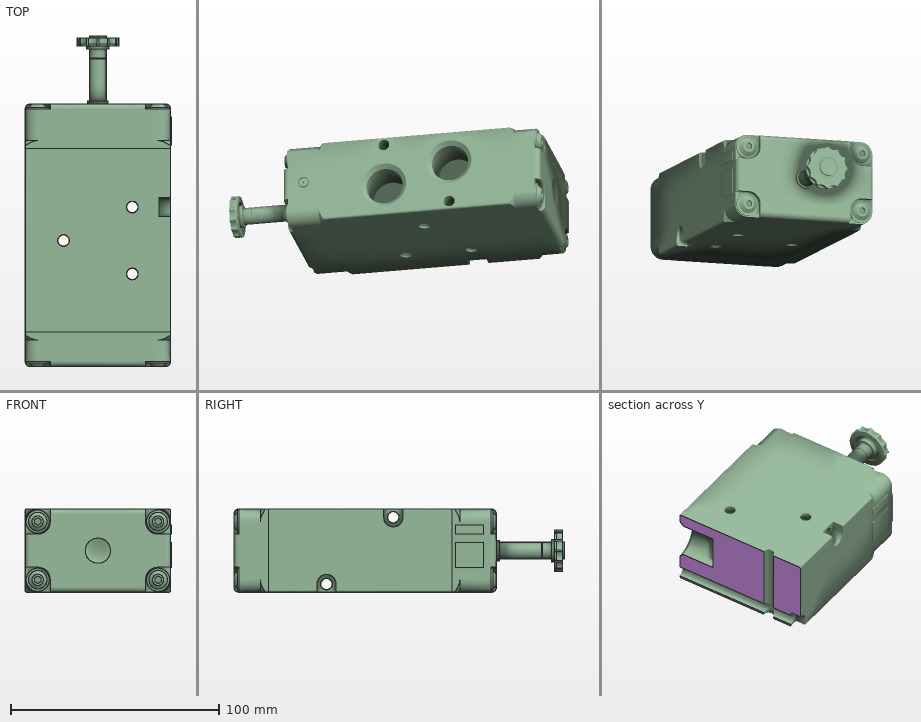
import cadquery as cq
import math

WIDTH = 70.0
HEIGHT = 40.0
FRONT_CAP_LENGTH = 16.5
BODY_LENGTH = 88.2
REAR_CAP_LENGTH = 21.5
TOTAL_LENGTH = 159.0
LONG_EDGE_RADIUS = 1.0
OVERSHOOT = 1.6

BODY_START = FRONT_CAP_LENGTH
BODY_END = BODY_START + BODY_LENGTH
REAR_FACE = BODY_END + REAR_CAP_LENGTH

STATION_PITCH = 32.1
FRONT_STATION = 44.5
REAR_STATION = FRONT_STATION + STATION_PITCH

PORT_RADIUS = 8.9
PORT_MOUTH_RADIUS = 11.0
PORT_MOUTH_DEPTH = PORT_MOUTH_RADIUS - PORT_RADIUS
PORT_DEPTH = 19.1
PORT_OFFSET_Z = 4.6

MOUNT_HOLE_RADIUS = 2.7
VERTICAL_HOLE_X = 16.5
CROSS_HOLE_Z = 16.0
NUT_SLOT_RADIUS = 4.6
NUT_SLOT_DEPTH = 5.5

CORNER_RADIUS = 6.0
SCREW_X = WIDTH / 2 - CORNER_RADIUS
SCREW_Z = HEIGHT / 2 - CORNER_RADIUS
FLANGE_LENGTH = 1.7
CORNER_TAPER = 2.0
END_FILLET = 2.5
POCKET_DEPTH = END_FILLET

SCREW_FLANGE_RADIUS = 5.5
SCREW_FLANGE_THICKNESS = 0.8
SCREW_CONE_RADIUS = 4.5
SCREW_TOP_RADIUS = 2.7
SOCKET_ACROSS_CORNERS = 3.7
SOCKET_DEPTH = 1.3

DIMPLE_RADIUS = 6.0
DIMPLE_DEPTH = 1.6

BUTTON_Y = 116.0
BUTTON_RADIUS = 2.2
BUTTON_GROOVE_WIDTH = 0.5
BUTTON_GROOVE_DEPTH = 0.8
BUTTON_DIMPLE_RADIUS = 0.5
MARK_HEIGHT = 0.3
MARK_START = 106.5
MARK_END = 119.9
MARK_SPANS_Z = [(-8.1, 3.8), (8.1, 12.4)]

STEM_DIAMETER = 8.1
STEM_RADIUS = STEM_DIAMETER / 2
COLLAR_RADIUS = 5.0
COLLAR_LENGTH = 1.5
GROOVE_Y = 148.2
GROOVE_WIDTH = 0.5
GROOVE_DEPTH = 0.3
HUB_RADIUS = 5.4
HUB_LENGTH = 1.5
KNOB_RADIUS = 10.0
KNOB_THICKNESS = 4.0
KNOB_DISC_RADIUS = 9.9
KNOB_DISC_THICKNESS = 1.0
KNOB_BOSS_LENGTH = 1.0
KNOB_BACK = TOTAL_LENGTH - KNOB_BOSS_LENGTH
KNOB_FRONT = KNOB_BACK - KNOB_THICKNESS
RECESS_RADIUS = 7.2
RECESS_DEPTH = 1.9
SCALLOP_COUNT = 12
SCALLOP_RADIUS = 3.7
SCALLOP_DEPTH = 1.0


def block(x_span, y_span, z_span):
    """Box between the given limits along each axis."""
    size = [end - start for start, end in (x_span, y_span, z_span)]
    return cq.Workplane("XY").box(*size, centered=False).translate((x_span[0], y_span[0], z_span[0]))


def rod_x(radius, x_start, x_end, y, z):
    """Cylinder along X."""
    return cq.Workplane("YZ", origin=(x_start, y, z)).circle(radius).extrude(x_end - x_start)


def rod_y(radius, y_start, y_end, x=0, z=0):
    """Cylinder along Y."""
    return cq.Workplane("XZ", origin=(x, y_start, z)).circle(radius).extrude(y_start - y_end)


def turned_y(points, x=0, z=0):
    """Solid of revolution about a line along Y, from (radius, y) points."""
    return cq.Workplane("XY").polyline(points).close().revolve(360, (0, 0), (0, 1)).translate((x, 0, z))


def rounded_bar(y_start, y_end):
    """Full-section bar along Y with its four long edges rounded."""
    bar = block((-WIDTH / 2, WIDTH / 2), (y_start, y_end), (-HEIGHT / 2, HEIGHT / 2))
    return bar.edges("|Y").fillet(LONG_EDGE_RADIUS)


def port(y, z):
    """Blind side port with a 45 degree mouth."""
    bore = rod_x(PORT_RADIUS, -WIDTH / 2, PORT_DEPTH - WIDTH / 2, y, z)
    mouth = (
        cq.Workplane("YZ", origin=(-WIDTH / 2, y, z))
        .circle(PORT_MOUTH_RADIUS)
        .workplane(offset=PORT_MOUTH_DEPTH)
        .circle(PORT_RADIUS)
        .loft()
    )
    return bore.union(mouth)


def cross_hole(y, side):
    """Through hole along X near the top (side 1) or bottom (side -1), with its open nut slot."""
    axis_z = side * CROSS_HOLE_Z
    slot_floor = WIDTH / 2 - NUT_SLOT_DEPTH
    slot_end = WIDTH / 2 + OVERSHOOT
    outer_z = side * (HEIGHT / 2 + OVERSHOOT)
    hole = rod_x(MOUNT_HOLE_RADIUS, -WIDTH / 2 - OVERSHOOT, slot_end, y, axis_z)
    slot_round = rod_x(NUT_SLOT_RADIUS, slot_floor, slot_end, y, axis_z)
    slot_mouth = block(
        (slot_floor, slot_end),
        (y - NUT_SLOT_RADIUS, y + NUT_SLOT_RADIUS),
        (min(axis_z, outer_z), max(axis_z, outer_z)),
    )
    return hole.union(slot_round).union(slot_mouth)


def make_valve_body():
    body = rounded_bar(BODY_START, BODY_END)
    body = body.cut(port(FRONT_STATION, PORT_OFFSET_Z)).cut(port(REAR_STATION, -PORT_OFFSET_Z))
    body = body.cut(cross_hole(REAR_STATION, 1)).cut(cross_hole(FRONT_STATION, -1))
    vertical_holes = [
        (VERTICAL_HOLE_X, FRONT_STATION),
        (VERTICAL_HOLE_X, REAR_STATION),
        (-VERTICAL_HOLE_X, (FRONT_STATION + REAR_STATION) / 2),
    ]
    drills = (
        cq.Workplane("XY", origin=(0, 0, -HEIGHT / 2 - OVERSHOOT))
        .pushPoints(vertical_holes)
        .circle(MOUNT_HOLE_RADIUS)
        .extrude(HEIGHT + 2 * OVERSHOOT)
    )
    return body.cut(drills)


def corner_trim(length):
    """Material outside the rounded +X +Z corner, which flares out to the square flange."""
    flare_end = FLANGE_LENGTH + CORNER_TAPER
    blank = block(
        (SCREW_X, WIDTH / 2 + OVERSHOOT),
        (FLANGE_LENGTH, length + OVERSHOOT),
        (SCREW_Z, HEIGHT / 2 + OVERSHOOT),
    )
    kept = turned_y(
        [
            (0, FLANGE_LENGTH),
            (CORNER_RADIUS + CORNER_TAPER, FLANGE_LENGTH),
            (CORNER_RADIUS, flare_end),
            (CORNER_RADIUS, length + OVERSHOOT),
            (0, length + OVERSHOOT),
        ],
        SCREW_X,
        SCREW_Z,
    )
    return blank.cut(kept)


def screw_pocket(length):
    """Pocket in the end face around the +X +Z screw, open to both sides of the corner."""
    pocket = block(
        (SCREW_X - CORNER_RADIUS, WIDTH / 2 + OVERSHOOT),
        (length - POCKET_DEPTH, length + OVERSHOOT),
        (SCREW_Z - CORNER_RADIUS, HEIGHT / 2 + OVERSHOOT),
    )
    return pocket.edges("|Y and <X and <Z").fillet(CORNER_RADIUS)


def screw_head(length):
    """Flanged conical screw head with a hexagon socket, flush with the end face."""
    seat = length - POCKET_DEPTH
    flange_top = seat + SCREW_FLANGE_THICKNESS
    head = turned_y(
        [
            (0, seat),
            (SCREW_FLANGE_RADIUS, seat),
            (SCREW_FLANGE_RADIUS, flange_top),
            (SCREW_CONE_RADIUS, flange_top),
            (SCREW_TOP_RADIUS, length),
            (0, length),
        ],
        SCREW_X,
        SCREW_Z,
    )
    socket = (
        cq.Workplane("XZ", origin=(SCREW_X, length, SCREW_Z))
        .transformed(rotate=(0, 0, 90))
        .polygon(6, SOCKET_ACROSS_CORNERS)
        .extrude(SOCKET_DEPTH)
    )
    return head.cut(socket)


def in_all_corners(shape):
    """The +X +Z corner shape and its mirror images in the other three corners."""
    left = shape.mirror("YZ")
    return [shape, left, shape.mirror("XY"), left.mirror("XY")]


def make_cap(length):
    """End cap with its joint face at Y = 0 and its end face at Y = length."""
    cap = block((-WIDTH / 2, WIDTH / 2), (0, length), (-HEIGHT / 2, HEIGHT / 2))
    cap = cap.faces(">Y").edges().fillet(END_FILLET)
    cap = cap.intersect(rounded_bar(0, length))
    for cutter in in_all_corners(corner_trim(length)) + in_all_corners(screw_pocket(length)):
        cap = cap.cut(cutter)
    for head in in_all_corners(screw_head(length)):
        cap = cap.union(head)
    return cap


def make_front_cap():
    cap = make_cap(FRONT_CAP_LENGTH).mirror("XZ").translate((0, FRONT_CAP_LENGTH, 0))
    sphere_radius = (DIMPLE_RADIUS**2 + DIMPLE_DEPTH**2) / (2 * DIMPLE_DEPTH)
    dimple = cq.Workplane("XY").sphere(sphere_radius).translate((0, DIMPLE_DEPTH - sphere_radius, 0))
    return cap.cut(dimple)


def override_button():
    """Ring groove around a flush button, and the small dimple at its centre."""
    groove_floor = BUTTON_GROOVE_DEPTH - WIDTH / 2
    groove = rod_x(BUTTON_RADIUS + BUTTON_GROOVE_WIDTH, -WIDTH / 2, groove_floor, BUTTON_Y, 0)
    groove = groove.cut(rod_x(BUTTON_RADIUS, -WIDTH / 2, groove_floor, BUTTON_Y, 0))
    return groove.union(rod_x(BUTTON_DIMPLE_RADIUS, -WIDTH / 2, groove_floor, BUTTON_Y, 0))


def stem():
    """Collar and grooved stem, up to the knob boss."""
    groove_floor = STEM_RADIUS - GROOVE_DEPTH
    collar_end = REAR_FACE + COLLAR_LENGTH
    return turned_y(
        [
            (0, REAR_FACE),
            (COLLAR_RADIUS, REAR_FACE),
            (COLLAR_RADIUS, collar_end),
            (STEM_RADIUS, collar_end),
            (STEM_RADIUS, GROOVE_Y - GROOVE_WIDTH / 2),
            (groove_floor, GROOVE_Y - GROOVE_WIDTH / 2),
            (groove_floor, GROOVE_Y + GROOVE_WIDTH / 2),
            (STEM_RADIUS, GROOVE_Y + GROOVE_WIDTH / 2),
            (STEM_RADIUS, TOTAL_LENGTH),
            (0, TOTAL_LENGTH),
        ]
    )


def knob():
    """Scalloped wheel filled out by a front disc, and a hub standing in its front recess."""
    wheel = rod_y(KNOB_RADIUS, KNOB_FRONT, KNOB_BACK)
    scallop_axis = KNOB_RADIUS + SCALLOP_RADIUS - SCALLOP_DEPTH
    for index in range(SCALLOP_COUNT):
        angle = 2 * math.pi * (index + 0.5) / SCALLOP_COUNT
        x = scallop_axis * math.cos(angle)
        z = scallop_axis * math.sin(angle)
        wheel = wheel.cut(rod_y(SCALLOP_RADIUS, KNOB_FRONT, KNOB_BACK, x, z))
    wheel = wheel.union(rod_y(KNOB_DISC_RADIUS, KNOB_FRONT, KNOB_FRONT + KNOB_DISC_THICKNESS))
    recess_floor = KNOB_FRONT + RECESS_DEPTH
    wheel = wheel.cut(rod_y(RECESS_RADIUS, KNOB_FRONT, recess_floor))
    return wheel.union(rod_y(HUB_RADIUS, KNOB_FRONT - HUB_LENGTH, recess_floor))


def make_rear_cap():
    cap = make_cap(REAR_CAP_LENGTH).translate((0, BODY_END, 0))
    cap = cap.cut(override_button())
    for z_span in MARK_SPANS_Z:
        mark = block((WIDTH / 2, WIDTH / 2 + MARK_HEIGHT), (MARK_START, MARK_END), z_span)
        cap = cap.union(mark)
    return cap.union(stem()).union(knob())


valve_body = make_valve_body()
front_cap = make_front_cap()
rear_cap = make_rear_cap()

result = cq.Compound.makeCompound(
    [
        valve_body.solids().val(),
        front_cap.solids().val(),
        rear_cap.solids().val(),
    ]
)